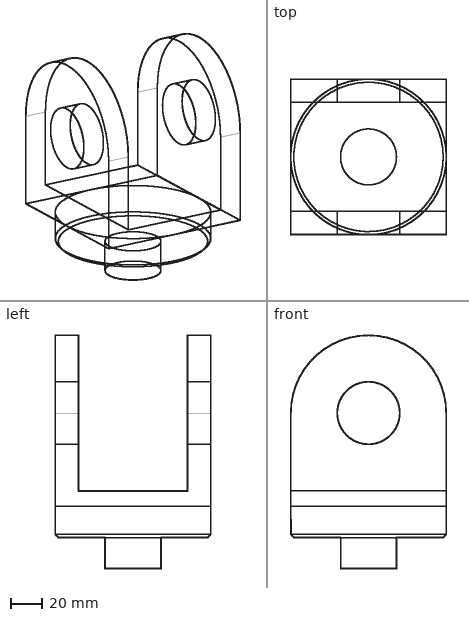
import cadquery as cq

width = 100.0
pin_diameter = 36.0
pin_length = 20.0
disc_height = 20.0
disc_chamfer = 2.0
plate_thickness = 10.0
lug_thickness = 15.0
lug_straight_height = 50.0
hole_diameter = 40.0

disc_bottom = pin_length
plate_bottom = disc_bottom + disc_height
plate_top = plate_bottom + plate_thickness
hole_level = plate_top + lug_straight_height

half_width = width / 2


def make_pin():
    """Round pin, running up to the underside of the disc."""
    return cq.Workplane("XY").circle(pin_diameter / 2).extrude(pin_length)


def make_disc():
    """Round flange with a chamfered lower rim."""
    disc = cq.Workplane("XY").workplane(offset=disc_bottom).circle(half_width).extrude(disc_height)
    return disc.faces("<Z").edges().chamfer(disc_chamfer)


def make_plate():
    """Square plate that carries both lugs."""
    return cq.Workplane("XY").workplane(offset=plate_bottom).rect(width, width).extrude(plate_thickness)


def make_lug(back_y):
    """Round-topped lug with a cross hole; back_y is its face towards +Y."""
    lug = (
        cq.Workplane("XZ", origin=(0, back_y, 0))
        .moveTo(-half_width, plate_top)
        .lineTo(half_width, plate_top)
        .lineTo(half_width, hole_level)
        .threePointArc((0, hole_level + half_width), (-half_width, hole_level))
        .close()
        .extrude(lug_thickness)
    )
    hole = (
        cq.Workplane("XZ", origin=(0, back_y, 0))
        .center(0, hole_level)
        .circle(hole_diameter / 2)
        .extrude(lug_thickness)
    )
    return lug.cut(hole)


result = make_pin().union(make_disc()).union(make_plate())
for lug_back_y in (half_width, -half_width + lug_thickness):
    result = result.union(make_lug(lug_back_y))